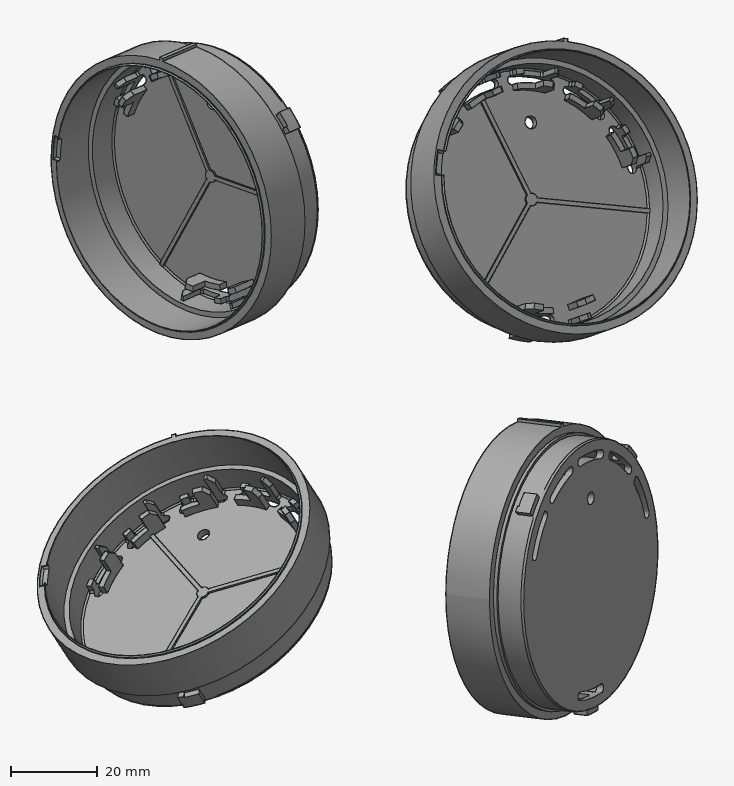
import cadquery as cq
depth = 19.75
rim_y = 0.6
body_end_y = 12.2
collar_end_y = 13.1
ledge_y = 10.9
floor_y = 17.95
body_radius = 34.3
collar_radius = 64.8 / 2
back_radius = 63.6 / 2
front_bore_radius = 64.0 / 2
back_bore_radius = 61.5 / 2
lip_edge_radius = front_bore_radius + 0.1
lip_bevel = 0.35
floor_bevel_width = 0.5
floor_bevel_height = 0.35
back_bevel_depth = 0.6
back_bevel_width = 0.2

key_width = 1.1
key_top_z = 35.0

pocket_start = 169.7
pocket_end = 180.0
pocket_depth = 0.7
pocket_radius = 33.75
pocket_inner_radius = 31.2
pocket_bevel = 0.5

long_rib_angles = (0, 240)
short_rib_angle = 120
rib_width = 1.05
rib_height = 0.5
rib_overlap = 0.35
hub_diameter = 3.0
hole_diameter = 3.0
hole_z = 18.15

slot_angles = (30, 60, 90, 120, 150, 270)
lone_post_angle = 300
slot_radius = 28.1
slot_width = 2.1
slot_half_angle = 10.2
slot_inner_radius = slot_radius - slot_width / 2
slot_outer_radius = slot_radius + slot_width / 2
inner_post_radius = 25.65
outer_post_radius = 30.35
tall_post = 6.4
low_post = 2.3
inner_tall_angle = 8.2
outer_post_start_angle = 5.7
outer_post_end_angle = 9.6
foot_margin_angle = 0.9
cut_margin = 0.7
post_bevel_width = 1.3
post_bevel_length = 1.95
foot_height = 0.5
foot_flare = 0.45

lug_end_angles = (45, 135, 270)
lug_span = 9.0
lug_radius = 33.25
lug_root_radius = 31.2
lug_front_y = 15.3
lug_back_y = 18.8
nub_span = 2.6
nub_height = 0.35


def turn(solid, angle):
    """Rotate about the cup axis, counter-clockwise seen from the open side."""
    return solid.rotate((0, 0, 0), (0, -1, 0), angle)


def sweep_profile(points, start, end):
    """Revolve (radius, y) points about the cup axis from start to end angle."""
    profile = cq.Workplane("XY").polyline(points).close()
    return turn(profile.revolve(end - start, (0, 0), (0, -1)), start)


def ring_sector(inner, outer, front, back, start, end):
    points = [(inner, front), (outer, front), (outer, back), (inner, back)]
    return sweep_profile(points, start, end)


def make_cup():
    return sweep_profile(
        [
            (0, depth),
            (back_radius - back_bevel_width, depth),
            (back_radius, depth - back_bevel_depth),
            (back_radius, collar_end_y),
            (collar_radius, collar_end_y),
            (collar_radius, body_end_y),
            (body_radius, body_end_y),
            (body_radius, rim_y),
            (collar_radius, rim_y),
            (collar_radius, lip_bevel),
            (lip_edge_radius, 0),
            (front_bore_radius, 0),
            (front_bore_radius, ledge_y),
            (back_bore_radius, ledge_y),
            (back_bore_radius, floor_y - floor_bevel_height),
            (back_bore_radius - floor_bevel_width, floor_y),
            (0, floor_y),
        ],
        0,
        360,
    )


def make_key():
    height = key_top_z - collar_radius
    key = cq.Workplane("XY").box(key_width, body_end_y - rim_y, height, centered=(True, False, False))
    return key.translate((0, rim_y, collar_radius))


def make_rim_pocket():
    bottom_y = rim_y + pocket_depth
    pocket = ring_sector(pocket_inner_radius, pocket_radius, 0, bottom_y, pocket_start, pocket_end)
    return pocket.faces(">Y").chamfer(pocket_bevel)


def axial_cylinder(diameter, front, back, z=0):
    cylinder = cq.Workplane("XZ", origin=(0, back, z)).circle(diameter / 2)
    return cylinder.extrude(back - front)


def make_rib(angle, length):
    size = (length, rib_height, rib_width)
    rib = cq.Workplane("XY").box(*size, centered=(False, False, True))
    return turn(rib.translate((0, floor_y - rib_height, 0)), angle)


def make_slot(angle):
    start = angle - slot_half_angle
    end = angle + slot_half_angle
    slot = ring_sector(slot_inner_radius, slot_outer_radius, floor_y, depth, start, end)
    round_end = axial_cylinder(slot_width, floor_y, depth).translate((slot_radius, 0, 0))
    return slot.union(turn(round_end, start)).union(turn(round_end, end))


def floor_post(inner, outer, height, start, end):
    return ring_sector(inner, outer, floor_y - height, floor_y, start, end)


def bevel_clockwise_end(post):
    """Cut the front corner off the clockwise end of a tall post."""
    return post.faces("<Y").edges("<Z").chamfer(post_bevel_width, post_bevel_length)


def make_inner_post(end):
    post = floor_post(inner_post_radius, slot_inner_radius, tall_post, -inner_tall_angle, end)
    return bevel_clockwise_end(post)


def make_stepped_inner_post():
    """Inner post whose counter-clockwise half is cut down to the low height."""
    step = ring_sector(
        inner_post_radius - cut_margin,
        slot_inner_radius + cut_margin,
        floor_y - tall_post,
        floor_y - low_post,
        0,
        2 * slot_half_angle,
    )
    return make_inner_post(slot_half_angle).cut(step)


def make_outer_post(height, start, end):
    return floor_post(slot_outer_radius, outer_post_radius, height, start, end)


def make_foot(start, end):
    foot = make_outer_post(foot_height, start - foot_margin_angle, end + foot_margin_angle)
    return foot.faces("<Y").edges("<Z or >Z").chamfer(foot_flare)


def make_tall_outer_post():
    start = -outer_post_end_angle
    end = -outer_post_start_angle
    post = bevel_clockwise_end(make_outer_post(tall_post, start, end))
    return post.union(make_foot(start, end))


def make_low_outer_post():
    start = outer_post_start_angle
    end = outer_post_end_angle
    return make_outer_post(low_post, start, end).union(make_foot(start, end))


def make_lug(end_angle):
    start = end_angle - lug_span
    lug = ring_sector(lug_root_radius, lug_radius, lug_front_y, lug_back_y, start, end_angle)
    nub = ring_sector(
        lug_root_radius, lug_radius, lug_front_y - nub_height, lug_front_y, start, start + nub_span
    )
    return lug.union(nub)


result = make_cup().union(make_key()).cut(make_rim_pocket())

result = result.union(axial_cylinder(hub_diameter, floor_y - rib_height, floor_y))
for rib_angle in long_rib_angles:
    result = result.union(make_rib(rib_angle, back_bore_radius))
result = result.union(make_rib(short_rib_angle, inner_post_radius + rib_overlap))

for lug_end_angle in lug_end_angles:
    result = result.union(make_lug(lug_end_angle))

result = result.cut(axial_cylinder(hole_diameter, floor_y, depth, hole_z))

for slot_angle in slot_angles:
    result = result.cut(make_slot(slot_angle))
    for post in (make_stepped_inner_post(), make_tall_outer_post(), make_low_outer_post()):
        result = result.union(turn(post, slot_angle))

for post in (make_inner_post(0), make_tall_outer_post()):
    result = result.union(turn(post, lone_post_angle))